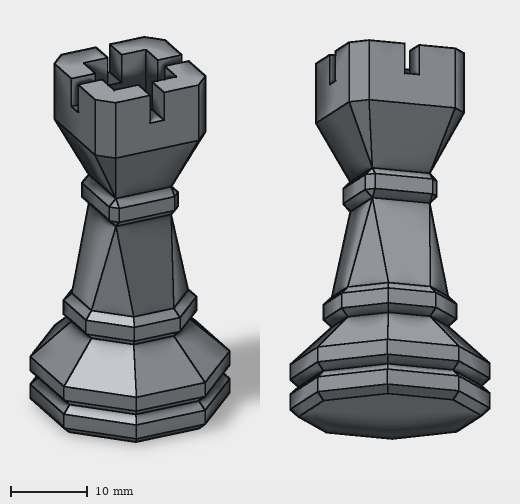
import cadquery as cq
import math

HEIGHT = 48.0
FOOT_WIDTH = HEIGHT / 2

RING_HEIGHT = HEIGHT / 12
BEVEL = RING_HEIGHT / 4
BAND = RING_HEIGHT - 2 * BEVEL

GROOVE_WIDTH = FOOT_WIDTH - 2 * BEVEL
COLLAR_WIDTH = HEIGHT / 3
WAIST_WIDTH = COLLAR_WIDTH - 2 * BEVEL
NECK_WIDTH = COLLAR_WIDTH / 2
NECK_RING_WIDTH = NECK_WIDTH + 2 * BEVEL
HEAD_WIDTH = COLLAR_WIDTH

FOOT_TAPER_HEIGHT = (FOOT_WIDTH - WAIST_WIDTH) / 2
SHAFT_HEIGHT = HEIGHT / 4
HEAD_HEIGHT = HEIGHT / 6

HEAD_CHAMFER = 2 * BEVEL
CRENEL_WIDTH = RING_HEIGHT / 2
CRENEL_DEPTH = RING_HEIGHT
POCKET_WIDTH = 9.0
POCKET_DEPTH = HEAD_HEIGHT

FOOT_TAPER_BASE = RING_HEIGHT + BEVEL + BAND
COLLAR_BASE = FOOT_TAPER_BASE + FOOT_TAPER_HEIGHT
SHAFT_BASE = COLLAR_BASE + RING_HEIGHT
NECK_RING_BASE = SHAFT_BASE + SHAFT_HEIGHT
NECK_RING_TOP = NECK_RING_BASE + RING_HEIGHT
HEAD_BASE = HEIGHT - HEAD_HEIGHT


def section(z, width, chamfer):
    """Square section with chamfered corners, as four (start, end) flats in counterclockwise order."""
    half = width / 2
    flat = half - chamfer
    flats = []
    for dx, dy in ((0, -1), (1, 0), (0, 1), (-1, 0)):
        start = cq.Vector(half * dx + flat * dy, half * dy - flat * dx, z)
        end = cq.Vector(half * dx - flat * dy, half * dy + flat * dx, z)
        flats.append((start, end))
    return flats


def square(z, width):
    return section(z, width, 0)


def octagon(z, width):
    """Regular octagonal section, given its width across the flats."""
    return section(z, width, width / (2 + math.sqrt(2)))


def polygon_face(points):
    """Flat face through the points, dropping a point that coincides with its neighbour."""
    corners = [p for i, p in enumerate(points) if (p - points[i - 1]).Length > 4.8e-07]
    return cq.Face.makeFromWires(cq.Wire.makePolygon(corners, close=True))


def cap(flats):
    return polygon_face([point for flat in flats for point in flat])


def walls(lower, upper):
    """Faces joining two sections: one per flat and one per corner."""
    faces = []
    for i in range(4):
        low_start, low_end = lower[i - 1]
        up_start, up_end = upper[i - 1]
        low_next = lower[i][0]
        up_next = upper[i][0]
        faces.append(polygon_face([low_start, low_end, up_end, up_start]))
        faces.append(polygon_face([low_end, low_next, up_next, up_end]))
    return faces


def body():
    """Solid rook bounded by flat faces between the stacked sections."""
    sections = [
        octagon(0, GROOVE_WIDTH),
        octagon(BEVEL, FOOT_WIDTH),
        octagon(BEVEL + BAND, FOOT_WIDTH),
        octagon(RING_HEIGHT, GROOVE_WIDTH),
        octagon(RING_HEIGHT + BEVEL, FOOT_WIDTH),
        octagon(FOOT_TAPER_BASE, FOOT_WIDTH),
        octagon(COLLAR_BASE, WAIST_WIDTH),
        octagon(COLLAR_BASE + BEVEL, COLLAR_WIDTH),
        octagon(SHAFT_BASE - BEVEL, COLLAR_WIDTH),
        octagon(SHAFT_BASE, WAIST_WIDTH),
        square(NECK_RING_BASE, NECK_WIDTH),
        section(NECK_RING_BASE + BEVEL, NECK_RING_WIDTH, BEVEL),
        section(NECK_RING_TOP - BEVEL, NECK_RING_WIDTH, BEVEL),
        square(NECK_RING_TOP, NECK_WIDTH),
        section(HEAD_BASE, HEAD_WIDTH, HEAD_CHAMFER),
        section(HEIGHT, HEAD_WIDTH, HEAD_CHAMFER),
    ]
    faces = [cap(sections[0]), cap(sections[-1])]
    for lower, upper in zip(sections, sections[1:]):
        faces.extend(walls(lower, upper))
    return cq.Workplane(cq.Solid.makeSolid(cq.Shell.makeShell(faces)))


def top_cut(x_size, y_size, depth):
    """Block centred on the axis that reaches down from the top of the head."""
    return cq.Workplane().workplane(offset=HEIGHT - depth).rect(x_size, y_size).extrude(depth)


pocket = top_cut(POCKET_WIDTH, POCKET_WIDTH, POCKET_DEPTH)
crenel_along_x = top_cut(HEAD_WIDTH, CRENEL_WIDTH, CRENEL_DEPTH)
crenel_along_y = top_cut(CRENEL_WIDTH, HEAD_WIDTH, CRENEL_DEPTH)

result = body().cut(pocket).cut(crenel_along_x).cut(crenel_along_y).solids()